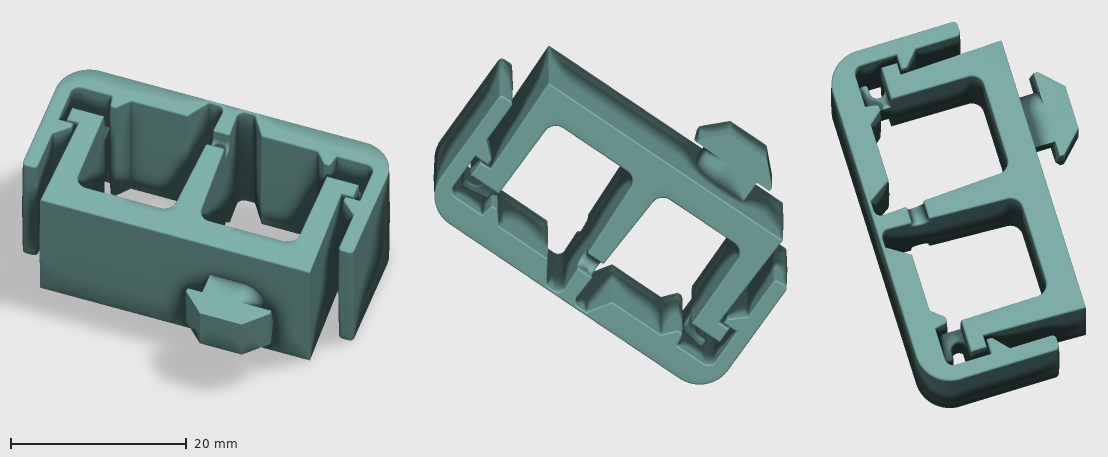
import cadquery as cq
import math


length = 40
half_length = length / 2
depth = 16
half_depth = depth / 2
cover_top = 20.2
draft_angle = 0.5
draft_inset = half_depth * math.tan(math.radians(draft_angle))
edge_round = 0.2

shell_corner_radius = 4
arm_thickness = 1.95
arm_inner_x = half_length - arm_thickness
arm_end_y = 4.15
arm_end_radius = 0.5
cover_thickness = 3.2
underside_y = cover_top - cover_thickness
underside_corner_radius = 0.95

nose_tip_x = 16.3
nose_top_y = 11.95
nose_tip_y = 11.2
nose_root_y = 9.6

rib_outer_root_x = 13.55
rib_outer_tip_x = 13.3
rib_inner_tip_x = 12.5
rib_inner_root_x = 11.2
rib_tip_y = 15.5
rib_tip_radius = 0.3

skin_thickness = 0.55
relief_y = cover_top - skin_thickness
relief_outer_x = 4.45
relief_inner_x = 2.7
relief_radius = 0.85

web_top_half_width = 0.9
web_root_half_width = 1.7

base_half_length = 16.3
base_trim = 0.4
wall_outer_top_x = 15.9
cell_floor_y = 3.5
cell_corner_radius = 1.45
cell_wall_root_x = 13.2
cell_wall_top_x = 13.3
lip_outer_x = 17.3
lip_bottom_y = 12.05
lip_top_y = 14.1

notch_radius = 1.0
notch_y = 15.0
notch_centre_depth = 1.25

hook_half_depth = 3.2
hook_mouth_radius = 0.9
hook_mouth_x = 15.75
hook_mouth_y = lip_top_y + hook_mouth_radius
hook_tip_x = 16.7
hook_tip_y = 16.9
hook_tip_radius = 0.35
hook_inner_chamfer = 0.15
hook_inner_x = 13.45
hook_inner_y = 16.4
hook_root_overlap = 0.4
hook_edge_round = 0.3

lug_x = 7.5
lug_depth = 5.45
lug_half_depth = lug_depth / 2
lug_end_y = -5.7
head_half_length = 5.05
head_peak_y = -2.1
head_back_y = -2.7
head_side_end_y = -3.15
head_chamfer = head_side_end_y - lug_end_y
neck_length = 6.5
neck_root_overlap = 0.4


def mirrored_in_x(corners):
    """Matching (x, y, radius) corners on the -X side, in the order that continues the outline."""
    return [(-x, y, radius) for x, y, radius in reversed(corners)]


def make_clip():
    """Cover, web and base as one outline, drafted both ways from the parting plane.

    The outline runs past the outer face of the base and is cut back there, so that face has no draft.
    """
    cover_half = [
        (half_length, cover_top, shell_corner_radius),
        (half_length, arm_end_y, arm_end_radius),
        (arm_inner_x, arm_end_y, arm_end_radius),
        (arm_inner_x, nose_root_y, 0),
        (nose_tip_x, nose_tip_y, 0),
        (nose_tip_x, nose_top_y, 0),
        (arm_inner_x, nose_top_y, 0),
        (arm_inner_x, underside_y, underside_corner_radius),
        (rib_outer_root_x, underside_y, 0),
        (rib_outer_tip_x, rib_tip_y, rib_tip_radius),
        (rib_inner_tip_x, rib_tip_y, 0),
        (rib_inner_root_x, underside_y, 0),
        (relief_outer_x, underside_y, 0),
        (relief_inner_x, relief_y, 0),
        (web_top_half_width, relief_y, relief_radius),
    ]
    base_half = [
        (web_root_half_width, cell_floor_y, cell_corner_radius),
        (cell_wall_root_x, cell_floor_y, cell_corner_radius),
        (cell_wall_top_x, lip_top_y, 0),
        (lip_outer_x, lip_top_y, 0),
        (lip_outer_x, lip_bottom_y, 0),
        (wall_outer_top_x, lip_bottom_y, 0),
        (base_half_length, -base_trim, 0),
    ]
    half = cover_half + base_half
    corners = half + mirrored_in_x(half)
    parting_outline = cq.Wire.makePolygon([cq.Vector(x, y) for x, y, radius in corners], close=True)
    end_outline = parting_outline.offset2D(-draft_inset, "intersection")[0]
    end_outline = end_outline.translate(cq.Vector(0, 0, half_depth))
    upper = cq.Workplane(cq.Solid.makeLoft([parting_outline, end_outline], True))
    for x, y, radius in corners:
        if radius > 0:
            upright_edge = cq.selectors.NearestToPointSelector((x, y, half_depth / 2))
            upper = upper.edges(upright_edge).fillet(radius)
    below_base = cq.Workplane("XY").box(length, 2 * base_trim, length).translate((0, -base_trim, 0))
    upper = upper.cut(below_base).cut(make_notch())
    upper = upper.faces(">Z").edges().add(upper.edges(notch_edges())).fillet(edge_round)
    return upper.union(upper.mirror("XY"))


def make_notch():
    """Round-bottomed channel along X that crosses the web."""
    width = 2 * notch_radius
    centre_z = half_depth - notch_centre_depth
    span = 4 * web_root_half_width
    return (
        cq.Workplane("YZ", origin=(-span / 2, notch_y, centre_z))
        .moveTo(-notch_radius, 0)
        .radiusArc((notch_radius, 0), -notch_radius)
        .line(0, 2 * notch_centre_depth)
        .line(-width, 0)
        .close()
        .extrude(span)
    )


def notch_edges():
    """Selects the edges where the notch meets the sides and the end face of the web."""
    notch_bottom_z = half_depth - notch_centre_depth - notch_radius
    return cq.selectors.BoxSelector(
        (-web_root_half_width, notch_y - notch_radius - edge_round, notch_bottom_z),
        (web_root_half_width, notch_y + notch_radius + edge_round, half_depth + edge_round),
    )


def make_hook():
    """C-shaped hook on the +X base wall, opening outwards, with rounded edges round its mouth."""
    root_y = lip_top_y - hook_root_overlap
    mouth_top_y = hook_mouth_y + hook_mouth_radius
    hook = (
        cq.Workplane("XY")
        .moveTo(hook_inner_x, root_y)
        .lineTo(hook_mouth_x, root_y)
        .lineTo(hook_mouth_x, lip_top_y)
        .threePointArc((hook_mouth_x - hook_mouth_radius, hook_mouth_y), (hook_mouth_x, mouth_top_y))
        .lineTo(hook_tip_x, mouth_top_y)
        .lineTo(hook_tip_x, hook_tip_y)
        .lineTo(hook_inner_x, hook_inner_y)
        .close()
        .extrude(hook_half_depth, both=True)
    )
    hook = hook.edges("|Z and >X").fillet(hook_tip_radius)
    hook = hook.edges("|Z and <X").edges(">Y").chamfer(hook_inner_chamfer)
    above_lip = cq.selectors.BoxSelector(
        (hook_inner_x + hook_inner_chamfer, lip_top_y, -depth),
        (hook_tip_x, hook_tip_y, depth),
    )
    return hook.faces("|Z").edges(above_lip).fillet(hook_edge_round)


def make_lug():
    """Lug with a ridged back, chamfered nose and a neck rounded at two opposite corners."""
    head = (
        cq.Workplane("XY")
        .moveTo(-head_half_length, 0)
        .lineTo(-head_half_length, head_side_end_y)
        .line(head_chamfer, -head_chamfer)
        .lineTo(head_half_length - head_chamfer, lug_end_y)
        .line(head_chamfer, head_chamfer)
        .lineTo(head_half_length, 0)
        .close()
        .extrude(lug_half_depth, both=True)
    )
    side_profile = (
        cq.Workplane("YZ")
        .polyline([
            (lug_end_y, -lug_half_depth),
            (head_back_y, -lug_half_depth),
            (head_peak_y, 0),
            (head_back_y, lug_half_depth),
            (lug_end_y, lug_half_depth),
        ])
        .close()
        .extrude(head_half_length, both=True)
    )
    head = head.intersect(side_profile)

    neck_height = neck_root_overlap - head_back_y
    half_neck = neck_length / 2
    neck = (
        cq.Workplane("XZ", origin=(0, neck_root_overlap, 0))
        .moveTo(-half_neck, 0)
        .lineTo(-half_neck, lug_half_depth)
        .lineTo(half_neck - lug_half_depth, lug_half_depth)
        .radiusArc((half_neck, 0), lug_half_depth)
        .lineTo(half_neck, -lug_half_depth)
        .lineTo(lug_half_depth - half_neck, -lug_half_depth)
        .radiusArc((-half_neck, 0), lug_half_depth)
        .close()
        .extrude(neck_height)
    )
    return head.union(neck).translate((lug_x, 0, 0))


hook = make_hook()
result = make_clip().union(hook).union(hook.mirror("YZ")).union(make_lug())